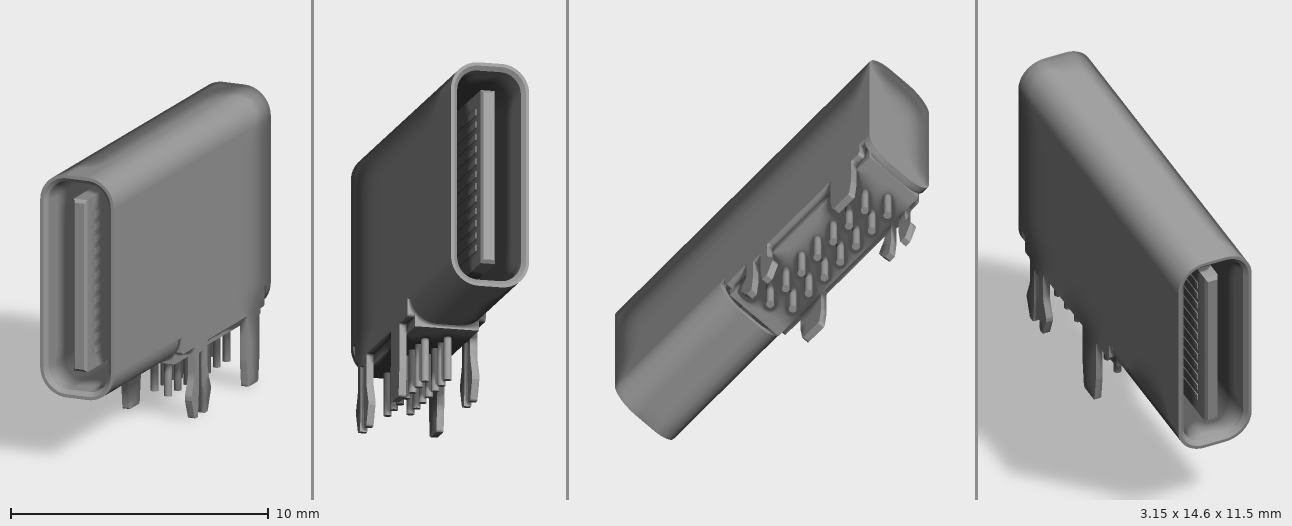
import cadquery as cq


WIDTH = 3.15
LENGTH = 14.55
SHELL_HEIGHT = 8.96
CORNER_RADIUS = 1.12
WALL = 0.29
LEAD_IN = 0.16

CAP_THICKNESS = 0.3
BACK_Y = LENGTH - CAP_THICKNESS
MID_Z = SHELL_HEIGHT / 2
INNER_WIDTH = WIDTH - 2 * WALL

NOSE_LENGTH = 6.01
RELIEF_Z = 1.02
SKIRT_FRONT_Y = 6.3
SKIRT_BACK_Y = 13.97
SKIRT_BOTTOM_Z = 0.32
SKIRT_CORNER = 0.12

LEG_BOTTOM_Z = -2.56
LEG_WIDTH = 1.2
LEG_TAPER_Z = -1.47
LEG_TIP_WIDTH = 0.96
LEG_MID_Y = 10.5
LEG_SPACING = 4.8
FORK_WIDTH = 1.78
FORK_SHOULDER_Z = -0.87
FORK_SHOULDER_RADIUS = 0.92
FORK_BARB_TOP_Z = -1.6
FORK_BARB_BOTTOM_Z = -1.78
FORK_BARB_RADIUS = 0.25
FORK_SLOT_WIDTH = 0.42
FORK_SLOT_TIP_WIDTH = 0.61
LEG_TIP_ROUND = 0.1
LEG_ROOT_ROUND = 0.09

EDGE_SEARCH = 0.03

HOUSING_FRONT_Y = 6.25
TONGUE_FRONT_Y = 0.2
TONGUE_WIDTH = 0.57
TONGUE_HEIGHT = 6.94
TONGUE_BEVEL_LENGTH = 0.15
TONGUE_BEVEL_X = 0.08
TONGUE_BEVEL_Z = 0.124
CONTACT_COUNT = 12
CONTACT_PITCH = 0.5
CONTACT_WIDTH = 0.25
CONTACT_HEIGHT = 0.05
CONTACT_FRONT_Y = 0.92
PIN_DIAMETER = 0.3
PIN_BOTTOM_Z = -1.79
PIN_COUNT = 14
PIN_PITCH = 0.45
PIN_ROW_X = 0.4
PIN_MID_Y = 10.52

BASE_THICKNESS = 0.09


def box(x_range, y_range, z_range):
    """Box from its lower and upper limits along each axis."""
    (x0, x1), (y0, y1), (z0, z1) = x_range, y_range, z_range
    return cq.Workplane("XY").box(x1 - x0, y1 - y0, z1 - z0, centered=False).translate((x0, y0, z0))


def rounded_bar(inset, y_start, y_end):
    """Solid bar along Y with the connector's rounded outline, moved inward by inset."""
    return (
        cq.Workplane("XZ", origin=(0, y_start, MID_Z))
        .rect(WIDTH - 2 * inset, SHELL_HEIGHT - 2 * inset)
        .extrude(-(y_end - y_start))
        .edges("|Y")
        .fillet(CORNER_RADIUS - inset)
    )


def side_plate(outline, x_start):
    """Sheet with a closed outline of (y, z) points, one wall thick from x_start towards +X."""
    return cq.Workplane("YZ", origin=(x_start, 0, 0)).polyline(outline).close().extrude(WALL)


def mirrored_outline(center_y, half_outline):
    """Closed outline about center_y from (half width, z) points of one half."""
    front_half = [(center_y - half, z) for half, z in half_outline]
    back_half = [(center_y + half, z) for half, z in reversed(half_outline)]
    return front_half + back_half


def edges_at_height(center_y, z):
    """Selector for the edges of a leg or flap near height z, within a forked leg's width."""
    reach = FORK_WIDTH / 2 + EDGE_SEARCH
    return cq.selectors.BoxSelector(
        (-WIDTH, center_y - reach, z - EDGE_SEARCH),
        (WIDTH, center_y + reach, z + EDGE_SEARCH),
    )


def plain_leg(center_y, x_start):
    half_outline = [
        (LEG_WIDTH / 2, SKIRT_BOTTOM_Z),
        (LEG_WIDTH / 2, LEG_TAPER_Z),
        (LEG_TIP_WIDTH / 2, LEG_BOTTOM_Z),
    ]
    leg = side_plate(mirrored_outline(center_y, half_outline), x_start)
    return leg.faces("<Z").edges("|X").fillet(LEG_TIP_ROUND)


def forked_leg(center_y, x_start):
    half_outline = [
        (LEG_WIDTH / 2, SKIRT_BOTTOM_Z),
        (LEG_WIDTH / 2, FORK_SHOULDER_Z),
        (FORK_WIDTH / 2, FORK_BARB_TOP_Z),
        (FORK_WIDTH / 2, FORK_BARB_BOTTOM_Z),
        (LEG_WIDTH / 2, LEG_BOTTOM_Z),
    ]
    leg = side_plate(mirrored_outline(center_y, half_outline), x_start)
    shoulders = edges_at_height(center_y, FORK_SHOULDER_Z)
    barb_tops = edges_at_height(center_y, FORK_BARB_TOP_Z)
    leg = leg.edges("|X").edges(shoulders).fillet(FORK_SHOULDER_RADIUS)
    leg = leg.edges("|X").edges(barb_tops).fillet(FORK_BARB_RADIUS)
    leg = leg.faces("<Z").edges("|X").fillet(LEG_TIP_ROUND)
    half_slot = [
        (FORK_SLOT_WIDTH / 2, 0),
        (FORK_SLOT_WIDTH / 2, LEG_TAPER_Z),
        (FORK_SLOT_TIP_WIDTH / 2, LEG_BOTTOM_Z),
    ]
    return leg.cut(side_plate(mirrored_outline(center_y, half_slot), x_start))


def make_skirt(x_start, plain_leg_y, forked_leg_y):
    """Flat side flap of the shell with one plain and one forked leg."""
    x_range = (x_start, x_start + WALL)
    flap = box(x_range, (SKIRT_FRONT_Y, SKIRT_BACK_Y), (SKIRT_BOTTOM_Z, CORNER_RADIUS))
    flap = flap.faces("<Z").edges("|X").fillet(SKIRT_CORNER)
    relief = box(x_range, (NOSE_LENGTH, SKIRT_FRONT_Y), (RELIEF_Z, CORNER_RADIUS))
    skirt = flap.union(plain_leg(plain_leg_y, x_start)).union(forked_leg(forked_leg_y, x_start))
    for leg_y in (plain_leg_y, forked_leg_y):
        root_corners = edges_at_height(leg_y, SKIRT_BOTTOM_Z)
        skirt = skirt.edges("|X").edges(root_corners).fillet(LEG_ROOT_ROUND)
    return skirt.union(relief)


def make_shell():
    """Rounded tube, open below behind its nose, with a legged skirt on each side."""
    tube = rounded_bar(0, 0, BACK_Y).cut(rounded_bar(WALL, 0, BACK_Y))
    inner_rim = cq.selectors.BoxSelector(
        (-INNER_WIDTH / 2 - WALL / 2, -WALL, WALL / 2),
        (INNER_WIDTH / 2 + WALL / 2, WALL, SHELL_HEIGHT - WALL / 2),
        boundingbox=True,
    )
    tube = tube.faces("<Y").edges(inner_rim).chamfer(LEAD_IN)
    tube = tube.cut(box((-WIDTH, WIDTH), (NOSE_LENGTH, LENGTH), (-WALL, CORNER_RADIUS)))
    front_leg_y = LEG_MID_Y - LEG_SPACING / 2
    back_leg_y = LEG_MID_Y + LEG_SPACING / 2
    left_skirt = make_skirt(-WIDTH / 2, plain_leg_y=front_leg_y, forked_leg_y=back_leg_y)
    right_skirt = make_skirt(WIDTH / 2 - WALL, plain_leg_y=back_leg_y, forked_leg_y=front_leg_y)
    return tube.union(left_skirt).union(right_skirt)


def make_rear_cap():
    """Rounded plate that closes the back of the connector."""
    return rounded_bar(0, BACK_Y, LENGTH)


def make_tongue():
    """Bar in the mouth with a bevelled tip."""
    bevel_end_y = TONGUE_FRONT_Y + TONGUE_BEVEL_LENGTH
    tip = (
        cq.Workplane("XZ", origin=(0, bevel_end_y, MID_Z))
        .rect(TONGUE_WIDTH, TONGUE_HEIGHT)
        .workplane(offset=TONGUE_BEVEL_LENGTH)
        .rect(TONGUE_WIDTH - 2 * TONGUE_BEVEL_X, TONGUE_HEIGHT - 2 * TONGUE_BEVEL_Z)
        .loft()
    )
    half_width = TONGUE_WIDTH / 2
    half_height = TONGUE_HEIGHT / 2
    bar = box(
        (-half_width, half_width),
        (bevel_end_y, HOUSING_FRONT_Y),
        (MID_Z - half_height, MID_Z + half_height),
    )
    return bar.union(tip)


def make_contacts():
    """Contact strips; each one runs through the tongue and stands out on both sides."""
    half_span = TONGUE_WIDTH / 2 + CONTACT_HEIGHT
    first_z = MID_Z - (CONTACT_COUNT - 1) * CONTACT_PITCH / 2
    strips = cq.Workplane("XY")
    for index in range(CONTACT_COUNT):
        z = first_z + index * CONTACT_PITCH
        strip = box(
            (-half_span, half_span),
            (CONTACT_FRONT_Y, HOUSING_FRONT_Y),
            (z - CONTACT_WIDTH / 2, z + CONTACT_WIDTH / 2),
        )
        strips = strips.add(strip)
    return strips


def make_pins():
    """Round solder pins in two rows, staggered along Y."""
    back_pin_y = PIN_MID_Y + (PIN_COUNT - 1) * PIN_PITCH / 2
    points = []
    for index in range(PIN_COUNT):
        row_x = -PIN_ROW_X if index % 2 == 0 else PIN_ROW_X
        points.append((row_x, back_pin_y - index * PIN_PITCH))
    return cq.Workplane("XY").pushPoints(points).circle(PIN_DIAMETER / 2).extrude(PIN_BOTTOM_Z)


def make_housing():
    """Insulator that fills the back of the shell, with its tongue, contacts and pins."""
    half_width = INNER_WIDTH / 2
    y_range = (HOUSING_FRONT_Y, BACK_Y)
    body = rounded_bar(WALL, *y_range).union(box((-half_width, half_width), y_range, (0, MID_Z)))
    body = body.union(make_tongue())
    for strip in make_contacts().vals():
        body = body.union(cq.Workplane(strip))
    for pin in make_pins().vals():
        body = body.union(cq.Workplane(pin))
    return body


def make_base_plate():
    """Thin plate under the housing with a hole for every pin."""
    half_width = INNER_WIDTH / 2
    plate = box((-half_width, half_width), (HOUSING_FRONT_Y, BACK_Y), (-BASE_THICKNESS, 0))
    return plate.cut(make_pins())


shell = make_shell()
rear_cap = make_rear_cap()
housing = make_housing()
base_plate = make_base_plate()

result = cq.Compound.makeCompound([shell.val(), rear_cap.val(), housing.val(), base_plate.val()])